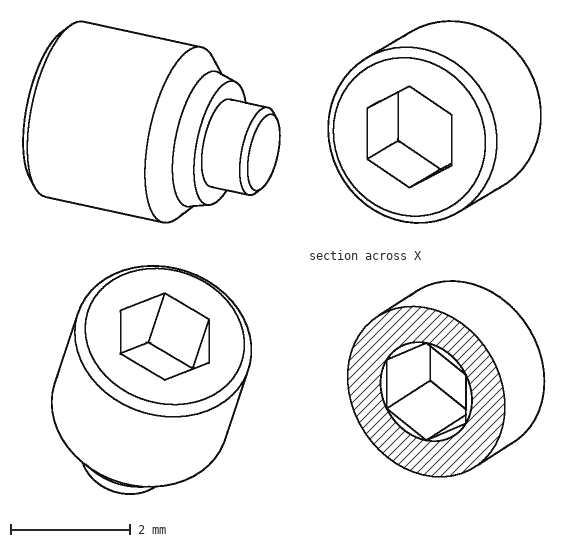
import cadquery as cq
import math

length = 3.8
body_diameter = 3.0
rear_chamfer = 0.15

body_end = 2.305
neck_start = 2.652
shoulder = 3.002

body_radius = body_diameter / 2
neck_radius = body_radius - (neck_start - body_end)
shoulder_radius = 1.055

tip_radius = 0.75
tip_chamfer = 0.1

socket_flats = 1.5
socket_depth = 1.52
drill_angle = 120.0


def make_body():
    """Revolve the stepped half outline about the X axis."""
    outline = [
        (0, 0),
        (0, body_radius - rear_chamfer),
        (rear_chamfer, body_radius),
        (body_end, body_radius),
        (neck_start, neck_radius),
        (shoulder, shoulder_radius),
        (shoulder, tip_radius),
        (length - tip_chamfer, tip_radius),
        (length, tip_radius - tip_chamfer),
        (length, 0),
    ]
    profile = cq.Workplane("XY").polyline(outline).close()
    return profile.revolve(360, (0, 0, 0), (1, 0, 0))


def make_socket():
    """Hexagonal prism with corners at +Z and -Z, ending in a cone across the corners."""
    corner_radius = socket_flats / math.sqrt(3)
    corners = [
        (corner_radius * math.sin(math.radians(60 * i)), corner_radius * math.cos(math.radians(60 * i)))
        for i in range(6)
    ]
    prism = cq.Workplane("YZ").polyline(corners).close().extrude(socket_depth)
    cone_depth = corner_radius / math.tan(math.radians(drill_angle / 2))
    cone = cq.Solid.makeCone(
        corner_radius, 0, cone_depth, pnt=cq.Vector(socket_depth, 0, 0), dir=cq.Vector(1, 0, 0)
    )
    return prism.union(cq.Workplane(cone))


result = make_body().cut(make_socket())